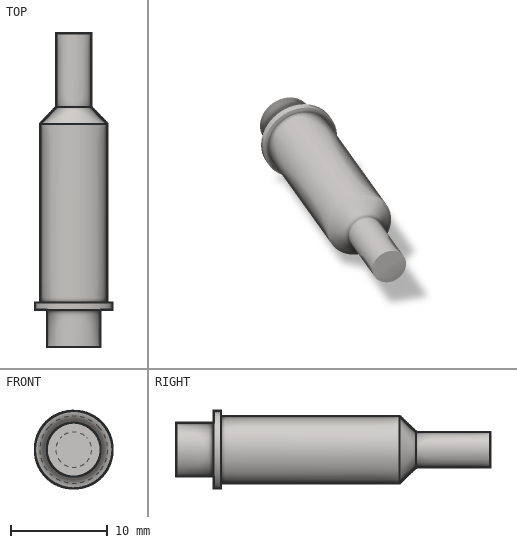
import cadquery as cq

total_length = 32.5
nose_length = 3.87
flange_thickness = 0.78
cone_length = 1.72
tail_length = 7.67

nose_diameter = 5.6
flange_diameter = 8.05
body_diameter = 7.0
tail_diameter = 3.67

front_y = -total_length / 2
back_y = total_length / 2
flange_front_y = front_y + nose_length
flange_back_y = flange_front_y + flange_thickness
tail_start_y = back_y - tail_length
cone_start_y = tail_start_y - cone_length

half_profile = (
    cq.Workplane("XY")
    .moveTo(0, front_y)
    .lineTo(nose_diameter / 2, front_y)
    .lineTo(nose_diameter / 2, flange_front_y)
    .lineTo(flange_diameter / 2, flange_front_y)
    .lineTo(flange_diameter / 2, flange_back_y)
    .lineTo(body_diameter / 2, flange_back_y)
    .lineTo(body_diameter / 2, cone_start_y)
    .lineTo(tail_diameter / 2, tail_start_y)
    .lineTo(tail_diameter / 2, back_y)
    .lineTo(0, back_y)
    .close()
)

result = half_profile.revolve(360, (0, 0, 0), (0, 1, 0))